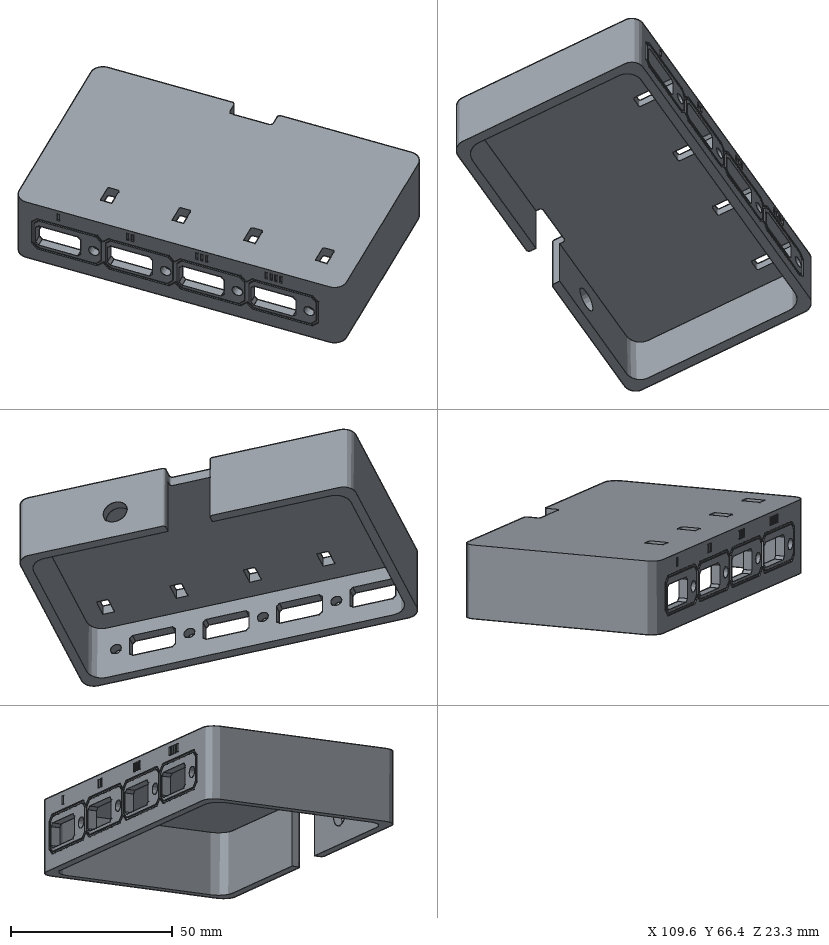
import cadquery as cq

length, depth, height = 109.6, 66.4, 23.3
corner_radius = 4.1
wall = 3.0
top_thickness = 3.4
cavity_corner_radius = 5.0

notch_width = 14.5
notch_depth = 5.0
notch_fillet = 1.0

station_count = 4
station_pitch = 24.0
row_center_x = -1.0

frame_height = 12.7
frame_z = -0.4
frame_chamfer = 2.0
groove_width = 0.8
groove_inner_chamfer = 1.6
engraving_depth = 0.5

window_width, window_height = 15.0, 8.0
window_chamfer = 1.0
window_offset_x = -3.1
opening_z = -1.0
hole_diameter = 3.5
hole_offset_x = 8.9

mark_width, mark_height = 0.8, 2.6
mark_spacing = 1.6
mark_z = 8.9

slot_offset_x = 9.0
slot_width, slot_length = 3.8, 6.2
slot_center_y = -20.5
slot_fillet = 0.5

back_hole_diameter = 7.8
back_hole_x, back_hole_z = 22.6, -1.8

front_y = -depth / 2
back_y = depth / 2
station_centers = [
    row_center_x + station_pitch * (index - (station_count - 1) / 2)
    for index in range(station_count)
]


def front_block(width, block_height, block_depth, x, z):
    """A rectangular block reaching inward from the front face."""
    block = cq.Workplane("XY").box(width, block_depth, block_height)
    return block.translate((x, front_y + block_depth / 2, z))


def front_octagon(width, block_height, block_depth, chamfer, x, z):
    """A front block with its four edges along Y chamfered."""
    return front_block(width, block_height, block_depth, x, z).edges("|Y").chamfer(chamfer)


def cylinder_along_y(diameter, start_y, cylinder_length, x, z):
    """A cylinder running from start_y toward +Y."""
    solid = cq.Solid.makeCylinder(
        diameter / 2, cylinder_length, cq.Vector(x, start_y, z), cq.Vector(0, 1, 0)
    )
    return cq.Workplane(obj=solid)


def make_shell():
    outer = cq.Workplane("XY").box(length, depth, height).edges("|Z").fillet(corner_radius)
    cavity = cq.Workplane("XY").box(length - 2 * wall, depth - 2 * wall, height)
    cavity = cavity.edges("|Z").fillet(cavity_corner_radius)
    return outer.cut(cavity.translate((0, 0, -top_thickness)))


def cut_notch(body):
    cutter = cq.Workplane("XY").box(notch_width, 2 * notch_depth, height)
    cutter = cutter.edges("|Z and <Y").fillet(notch_fillet)
    body = body.cut(cutter.translate((row_center_x, back_y, 0)))
    mouth = cq.selectors.BoxSelector(
        (row_center_x - notch_width, back_y - notch_fillet, -height),
        (row_center_x + notch_width, back_y + notch_fillet, height),
    )
    return body.edges("|Z").edges(mouth).fillet(notch_fillet)


def frame_groove(x):
    outer = front_octagon(station_pitch, frame_height, engraving_depth, frame_chamfer, x, frame_z)
    inner = front_octagon(
        station_pitch - 2 * groove_width,
        frame_height - 2 * groove_width,
        engraving_depth,
        groove_inner_chamfer,
        x,
        frame_z,
    )
    return outer.cut(inner)


def top_slot(x):
    slot = cq.Workplane("XY").box(slot_width, slot_length, 2 * top_thickness)
    slot = slot.edges("|Z and >Y").fillet(slot_fillet)
    return slot.translate((x, slot_center_y, height / 2))


def cut_station(body, x, mark_count):
    window_x = x + window_offset_x
    hole_x = x + hole_offset_x
    through_wall = 2 * wall

    body = body.cut(frame_groove(x))
    body = body.cut(
        front_octagon(window_width, window_height, through_wall, window_chamfer, window_x, opening_z)
    )
    body = body.cut(cylinder_along_y(hole_diameter, front_y, through_wall, hole_x, opening_z))
    body = body.cut(top_slot(x + slot_offset_x))
    for mark in range(mark_count):
        mark_x = window_x + mark_spacing * (mark - (mark_count - 1) / 2)
        body = body.cut(front_block(mark_width, mark_height, engraving_depth, mark_x, mark_z))
    return body


result = cut_notch(make_shell())
for station, center_x in enumerate(station_centers):
    result = cut_station(result, center_x, station + 1)
result = result.cut(
    cylinder_along_y(back_hole_diameter, back_y - 2 * wall, 2 * wall, back_hole_x, back_hole_z)
)